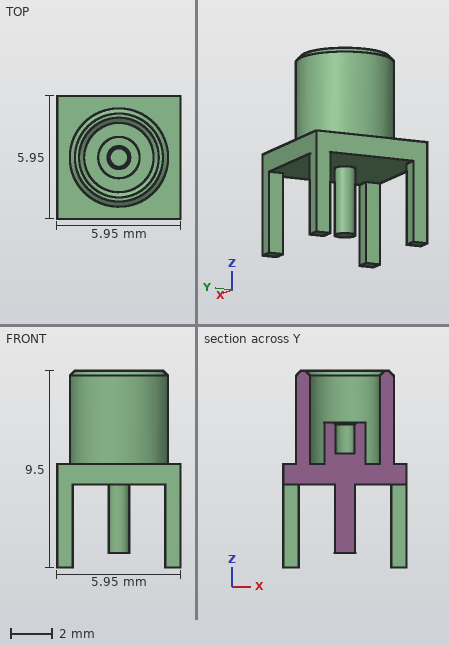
import cadquery as cq

base_width = 5.95
base_thickness = 1.0

leg_width = 0.75
leg_length = 4.0
pin_diameter = 1.0
pin_length = 3.3

barrel_diameter = 4.75
barrel_height = 4.5
bore_diameter = 3.35
rim_chamfer = 0.25

contact_diameter = 2.0
contact_height = 2.0
socket_diameter = 0.9
socket_depth = 1.5
socket_chamfer = 0.1


def cylinder(diameter, height, bottom):
    """Vertical cylinder on the part axis, starting at height bottom."""
    return cq.Workplane("XY").workplane(offset=bottom).circle(diameter / 2).extrude(height)


def make_base():
    """Plate centred on the part axis."""
    return cq.Workplane("XY").rect(base_width, base_width).extrude(base_thickness)


def make_legs():
    """Four square legs, flush with the corners of the plate."""
    leg_spacing = base_width - leg_width
    return (
        cq.Workplane("XY")
        .rect(leg_spacing, leg_spacing, forConstruction=True)
        .vertices()
        .rect(leg_width, leg_width)
        .extrude(-leg_length)
    )


def make_barrel():
    """Open tube with both edges of its top rim chamfered."""
    tube = cylinder(barrel_diameter, barrel_height, base_thickness)
    tube = tube.cut(cylinder(bore_diameter, barrel_height, base_thickness))
    return tube.faces(">Z").edges().chamfer(rim_chamfer)


def make_contact():
    """Centre contact with a blind socket, chamfered at its mouth."""
    contact = cylinder(contact_diameter, contact_height, base_thickness)
    socket_floor = base_thickness + contact_height - socket_depth
    contact = contact.cut(cylinder(socket_diameter, socket_depth, socket_floor))
    socket_mouth = contact.faces(">Z").edges(cq.selectors.RadiusNthSelector(0))
    return socket_mouth.chamfer(socket_chamfer)


pin = cylinder(pin_diameter, pin_length, -pin_length)

result = make_base().union(make_legs()).union(pin).union(make_barrel()).union(make_contact())